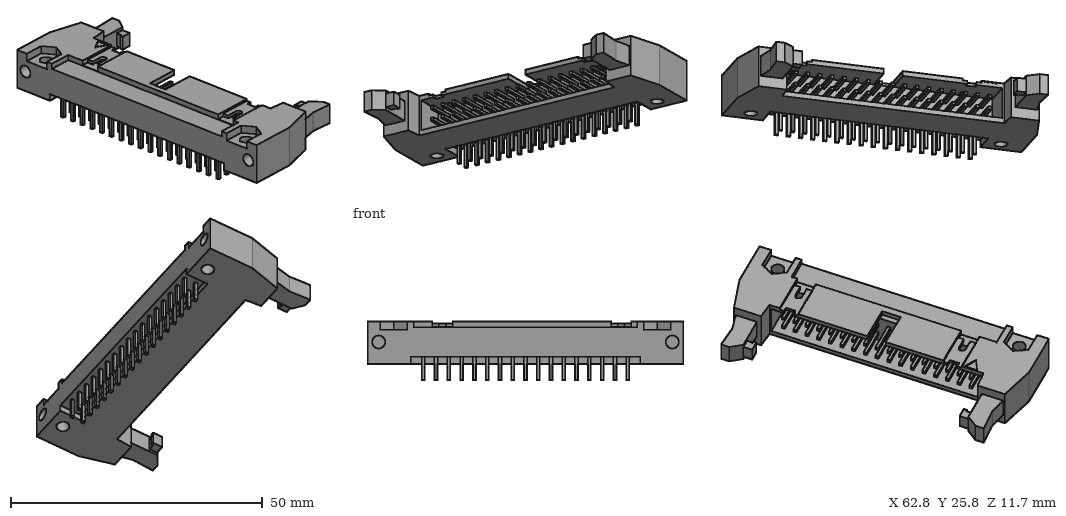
import cadquery as cq
import math


total_length = 62.8
total_depth = 25.75
total_height = 11.7
body_height = 8.5
tail_length = total_height - body_height

mouth_y = 13.8
mouth_corner_x = 23.2
tower_tip_y = 17.3
tower_tip_inner_x = 23.5
tower_tip_outer_x = 29.4
tower_bend_y = 10.0

wall = 1.05
cavity_half_length = 22.8
cavity_back_y = 7.5
cavity_top_z = body_height - wall

shelf_half_length = 22.25
shelf_depth_y = 5.0
shelf_drop = 1.15
tail_recess_height = 1.5
tail_recess_depth_y = 5.0

pin_count = 17
pitch = 2.54
pin_width = 0.64
pin_setback = 0.2
pin_embed = 1.0
first_tail_y = 1.2
row_middle_z = body_height / 2

key_slot_width = 4.0
key_slot_end_y = 6.4

strip_centers_x = (-16.5, 19.0)
strip_width = 4.0
strip_drop = 0.4
strip_end_y = 6.55
keyhole_width = 1.4
keyhole_tip_y = 9.6
notch_width = 2.0
notch_depth_y = 0.95

marker_x = -20.4
marker_width = 2.7
marker_length = 2.5
marker_gap = 0.25
marker_depth = 0.2

mount_x = 26.2
mount_y = 2.85
hole_diameter = 2.6
nut_flats = 5.3
nut_pocket_depth = 1.65
rear_hole_x = 29.2
rear_hole_z = 4.4
rear_hole_depth = 6.0

latch_height = 4.2
latch_bottom_z = 2.25
latch_embed = 1.0
latch_inner_x = 24.4
latch_root_x = 29.0
latch_waist_x = 28.2
latch_waist_y = 20.9
latch_tip_outer_x = 28.5
latch_tip_inner_x = 26.7
hook_height = 2.9
hook_tip_x = 22.5
hook_top_y = 24.05
hook_bottom_y = 22.25
hook_lip_y = 21.9
hook_lip_width = 0.7


def box(x_min, x_max, y_min, y_max, z_min, z_max):
    """Block between the given limits."""
    return cq.Workplane("XY").box(
        x_max - x_min, y_max - y_min, z_max - z_min, centered=False
    ).translate((x_min, y_min, z_min))


def prism(points, z_min, height):
    """Upright prism over a closed polygon."""
    return cq.Workplane("XY").workplane(offset=z_min).polyline(points).close().extrude(height)


def both_ends(shape):
    """The shape together with its mirror image in the YZ plane."""
    return shape.union(shape.mirror("YZ"))


def housing():
    right_side = [
        (total_length / 2, 0),
        (total_length / 2, tower_bend_y),
        (tower_tip_outer_x, tower_tip_y),
        (tower_tip_inner_x, tower_tip_y),
        (mouth_corner_x, mouth_y),
    ]
    left_side = [(-x, y) for x, y in reversed(right_side)]
    body = prism(right_side + left_side, 0, body_height)
    cavity = box(-cavity_half_length, cavity_half_length, cavity_back_y, mouth_y, wall, cavity_top_z)
    shelf = box(
        -shelf_half_length, shelf_half_length, 0, shelf_depth_y, body_height - shelf_drop, body_height
    )
    tail_recess = box(
        -cavity_half_length, cavity_half_length, 0, tail_recess_depth_y, 0, tail_recess_height
    )
    return body.cut(cavity).cut(shelf).cut(tail_recess)


def key_slot():
    return box(
        -key_slot_width / 2, key_slot_width / 2, key_slot_end_y, mouth_y, cavity_top_z, body_height
    )


def strip_cut(center_x):
    """Shallow strip, its deeper rear end, the keyhole and the mouth notch."""
    left = center_x - strip_width / 2
    right = center_x + strip_width / 2
    strip = box(left, right, shelf_depth_y, mouth_y, body_height - strip_drop, body_height)
    rear_end = box(left, right, shelf_depth_y, strip_end_y, cavity_top_z, body_height)
    radius = keyhole_width / 2
    keyhole_center_y = keyhole_tip_y - radius
    keyhole = box(
        center_x - radius, center_x + radius, strip_end_y, keyhole_center_y, cavity_top_z, body_height
    )
    keyhole_end = (
        cq.Workplane("XY")
        .workplane(offset=cavity_top_z)
        .center(center_x, keyhole_center_y)
        .circle(radius)
        .extrude(wall)
    )
    notch = box(
        center_x - notch_width / 2,
        center_x + notch_width / 2,
        mouth_y - notch_depth_y,
        mouth_y,
        cavity_top_z,
        body_height,
    )
    return strip.union(rear_end).union(keyhole).union(keyhole_end).union(notch)


def pin_one_marker():
    base_y = mouth_y - marker_gap
    corners = [
        (marker_x - marker_width / 2, base_y),
        (marker_x + marker_width / 2, base_y),
        (marker_x, base_y - marker_length),
    ]
    return prism(corners, body_height - marker_depth, marker_depth)


def mounting_cut():
    """Right-hand mounting hole, nut pocket open to the rear face, and blind rear hole."""
    hole = cq.Workplane("XY").center(mount_x, mount_y).circle(hole_diameter / 2).extrude(body_height)
    half_flats = nut_flats / 2
    half_side = half_flats / math.sqrt(3)
    pocket_outline = [
        (mount_x - half_flats, 0),
        (mount_x + half_flats, 0),
        (mount_x + half_flats, mount_y + half_side),
        (mount_x, mount_y + 2 * half_side),
        (mount_x - half_flats, mount_y + half_side),
    ]
    pocket = prism(pocket_outline, body_height - nut_pocket_depth, nut_pocket_depth)
    rear_hole = (
        cq.Workplane("XZ")
        .center(rear_hole_x, rear_hole_z)
        .circle(hole_diameter / 2)
        .extrude(-rear_hole_depth)
    )
    return hole.union(pocket).union(rear_hole)


def latch():
    """Right-hand latch arm, rooted in its tower, with the hook pointing inwards."""
    arm_outline = [
        (latch_inner_x, tower_tip_y - latch_embed),
        (latch_root_x, tower_tip_y - latch_embed),
        (latch_root_x, tower_tip_y),
        (latch_waist_x, latch_waist_y),
        (latch_tip_outer_x, total_depth),
        (latch_tip_inner_x, total_depth),
        (latch_inner_x, hook_top_y),
    ]
    arm = prism(arm_outline, latch_bottom_z, latch_height)
    hook_outline = [
        (latch_inner_x, hook_top_y),
        (hook_tip_x, hook_top_y),
        (hook_tip_x, hook_lip_y),
        (hook_tip_x + hook_lip_width, hook_lip_y),
        (hook_tip_x + hook_lip_width, hook_bottom_y),
        (latch_inner_x, hook_bottom_y),
    ]
    hook_bottom_z = latch_bottom_z + (latch_height - hook_height) / 2
    return arm.union(prism(hook_outline, hook_bottom_z, hook_height))


def pins():
    """Mating pins in the cavity and solder tails, two rows of each."""
    first_x = -(pin_count - 1) / 2 * pitch
    half = pin_width / 2
    all_pins = cq.Workplane("XY")
    for column in range(pin_count):
        x = first_x + column * pitch
        for row in range(2):
            mating_z = row_middle_z + (row - 0.5) * pitch
            tail_y = first_tail_y + row * pitch
            mating_pin = box(
                x - half,
                x + half,
                cavity_back_y - pin_embed,
                mouth_y - pin_setback,
                mating_z - half,
                mating_z + half,
            )
            tail = box(
                x - half,
                x + half,
                tail_y - half,
                tail_y + half,
                -tail_length,
                tail_recess_height + pin_embed,
            )
            all_pins = all_pins.add(mating_pin).add(tail)
    return all_pins


result = housing().cut(key_slot()).cut(pin_one_marker()).cut(both_ends(mounting_cut()))
for strip_x in strip_centers_x:
    result = result.cut(strip_cut(strip_x))
result = result.union(both_ends(latch()))
result = result.union(cq.Workplane("XY").newObject([cq.Compound.makeCompound(pins().vals())]))